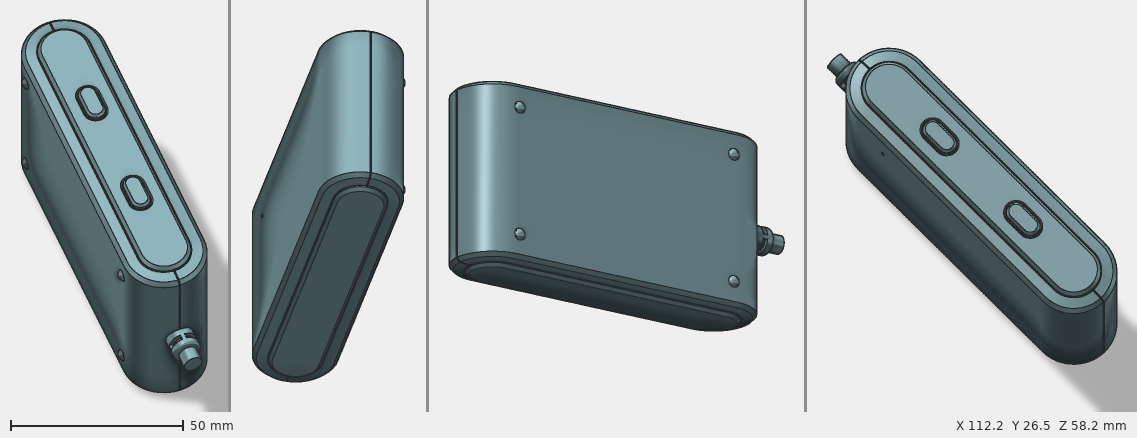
import cadquery as cq
import math

body_length = 102.0
body_depth = 25.1
overall_height = 57.0
body_chamfer = 1.2
shoulder_drop = 1.6
crown_rise = 0.35
lid_chamfer = 1.0
lid_inset = 4.7
groove_width = 0.25
groove_depth = 0.4
parting_width = 0.3
parting_depth = 0.3

button_x = (-17.4, 17.4)
button_length = 11.6
button_depth = 5.8
button_rise = 1.2
button_chamfer = 0.75
button_gap = 0.35
recess_depth = 0.4
recess_wall_angle = 45.0

screw_spacing_x = 74.4
screw_spacing_z = 39.0
screw_radius = 1.8
screw_rise = 1.1
indicator_x = 28.0
indicator_z = 14.9
indicator_radius = 0.6
indicator_rise = 0.3

cable_reach = 10.2
cable_radius = 2.8
sleeve_reach = 6.0
sleeve_radius = 4.2
sleeve_fillet = 1.2
window_start = 1.95
window_width = 1.6
rib_width = 1.35

shoulder_z = overall_height / 2 - shoulder_drop
body_end_x = body_length / 2
body_face_y = body_depth / 2
lid_face_z = overall_height / 2
lid_length = body_length - 2 * lid_inset
lid_depth = body_depth - 2 * lid_inset


def stadium(length, depth, bottom_z, top_z):
    """Upright prism with semicircular ends, long side along X."""
    return cq.Workplane("XY").workplane(offset=bottom_z).slot2D(length, depth).extrude(top_z - bottom_z)


def x_cylinder(radius, start_x, end_x):
    """Cylinder along the X axis."""
    return cq.Workplane("YZ").workplane(offset=start_x).circle(radius).extrude(end_x - start_x)


def dome(radius, rise):
    """Spherical cap standing on the XY plane."""
    sphere_radius = (radius**2 + rise**2) / (2 * rise)
    sphere = cq.Workplane("XY").sphere(sphere_radius).translate((0, 0, rise - sphere_radius))
    upper_half = cq.Workplane("XY").box(
        4 * sphere_radius, 4 * sphere_radius, 2 * rise, centered=(True, True, False)
    )
    return sphere.intersect(upper_half)


def make_body(inset):
    """Chamfered body with sloping shoulders, every wall moved inwards by the inset."""
    top_z = shoulder_z - inset
    length = body_length - 2 * inset
    depth = body_depth - 2 * inset
    body = stadium(length, depth, -top_z, top_z).faces("|Z").chamfer(body_chamfer)
    crown_run = lid_inset - groove_width - body_chamfer
    crown_angle = math.degrees(math.atan(crown_run / crown_rise))
    crown = (
        cq.Workplane("XY")
        .workplane(offset=top_z)
        .slot2D(length - 2 * body_chamfer, depth - 2 * body_chamfer)
        .extrude(crown_rise, taper=crown_angle)
    )
    return body.union(crown).union(crown.mirror("XY"))


def make_housing():
    body = make_body(0)
    groove_top_z = shoulder_z + crown_rise
    groove_floor_z = groove_top_z - groove_depth
    groove = stadium(
        lid_length + 2 * groove_width, lid_depth + 2 * groove_width, groove_floor_z, groove_top_z
    )
    groove = groove.cut(stadium(lid_length, lid_depth, groove_floor_z, groove_top_z))
    body = body.cut(groove).cut(groove.mirror("XY"))
    parting = cq.Workplane("XY").box(body_length, parting_width, overall_height)
    body = body.cut(parting.cut(make_body(parting_depth)))
    lids = stadium(lid_length, lid_depth, -lid_face_z, lid_face_z).faces("|Z").chamfer(lid_chamfer)
    return body.union(lids)


def add_button(part, center_x):
    floor_z = lid_face_z - recess_depth
    floor_margin = 2 * button_gap
    recess = (
        cq.Workplane("XY")
        .workplane(offset=floor_z)
        .slot2D(button_length + floor_margin, button_depth + floor_margin)
        .extrude(recess_depth, taper=-recess_wall_angle)
    )
    button = stadium(button_length, button_depth, floor_z, lid_face_z + button_rise)
    button = button.faces(">Z").chamfer(button_chamfer)
    return part.cut(recess.translate((center_x, 0, 0))).union(button.translate((center_x, 0, 0)))


def add_domes(part):
    screw = dome(screw_radius, screw_rise).rotate((0, 0, 0), (1, 0, 0), 90)
    for side_x in (-1, 1):
        for side_z in (-1, 1):
            place = (side_x * screw_spacing_x / 2, -body_face_y, side_z * screw_spacing_z / 2)
            part = part.union(screw.translate(place))
    indicator = dome(indicator_radius, indicator_rise).rotate((0, 0, 0), (1, 0, 0), -90)
    return part.union(indicator.translate((indicator_x, body_face_y, indicator_z)))


def make_cable():
    root_x = body_end_x - sleeve_radius
    sleeve = x_cylinder(sleeve_radius, root_x, body_end_x + sleeve_reach)
    sleeve = sleeve.faces(">X").edges().fillet(sleeve_fillet)
    start_x = body_end_x + window_start
    windows = x_cylinder(sleeve_radius, start_x, start_x + window_width)
    middle_x = start_x + window_width / 2
    for size_y, size_z in ((rib_width, 2 * sleeve_radius), (2 * sleeve_radius, rib_width)):
        ribs = cq.Workplane("XY").box(window_width, size_y, size_z)
        windows = windows.cut(ribs.translate((middle_x, 0, 0)))
    return sleeve.cut(windows).union(x_cylinder(cable_radius, root_x, body_end_x + cable_reach))


result = make_housing()
for x in button_x:
    result = add_button(result, x)
result = add_domes(result)
result = result.union(make_cable())